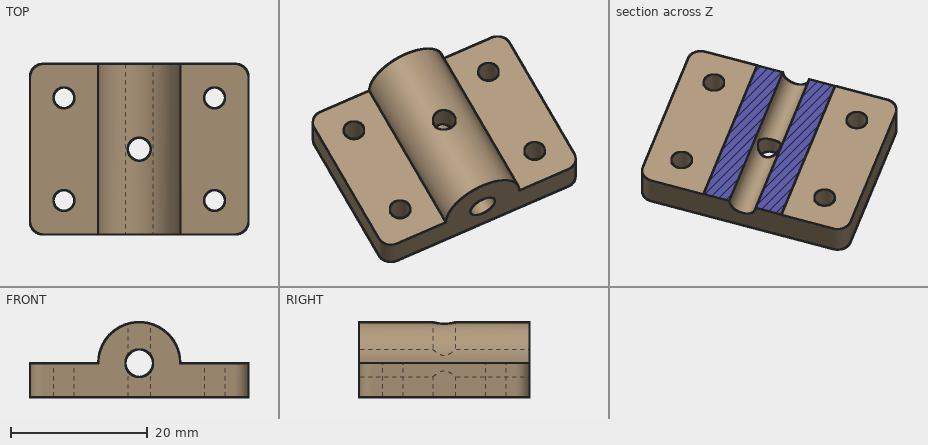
import cadquery as cq

plate_length = 32.0
plate_width = 25.0
plate_thickness = 5.0
corner_radius = 2.0

total_height = 11.0
barrel_radius = total_height - plate_thickness
bore_diameter = 4.0

mount_hole_diameter = 3.0
mount_spacing_x = 22.0
mount_spacing_y = 15.0
center_hole_diameter = 3.33


def make_plate():
    return (
        cq.Workplane("XY")
        .rect(plate_length, plate_width)
        .extrude(plate_thickness)
        .edges("|Z")
        .fillet(corner_radius)
    )


def make_barrel():
    """Half cylinder standing on the plate's top face, across its full width."""
    return (
        cq.Workplane("XZ", origin=(0, plate_width / 2, 0))
        .moveTo(-barrel_radius, plate_thickness)
        .threePointArc((0, total_height), (barrel_radius, plate_thickness))
        .close()
        .extrude(plate_width)
    )


def make_bore():
    """Round bore along Y, with its axis in the plate's top face."""
    return (
        cq.Workplane("XZ", origin=(0, plate_width / 2, plate_thickness))
        .circle(bore_diameter / 2)
        .extrude(plate_width)
    )


def make_mount_holes():
    return (
        cq.Workplane("XY")
        .rect(mount_spacing_x, mount_spacing_y, forConstruction=True)
        .vertices()
        .circle(mount_hole_diameter / 2)
        .extrude(plate_thickness)
    )


def make_center_hole():
    """Vertical hole through the barrel, the bore and the plate."""
    return cq.Workplane("XY").circle(center_hole_diameter / 2).extrude(total_height)


body = make_plate().union(make_barrel())
result = body.cut(make_bore()).cut(make_mount_holes()).cut(make_center_hole())